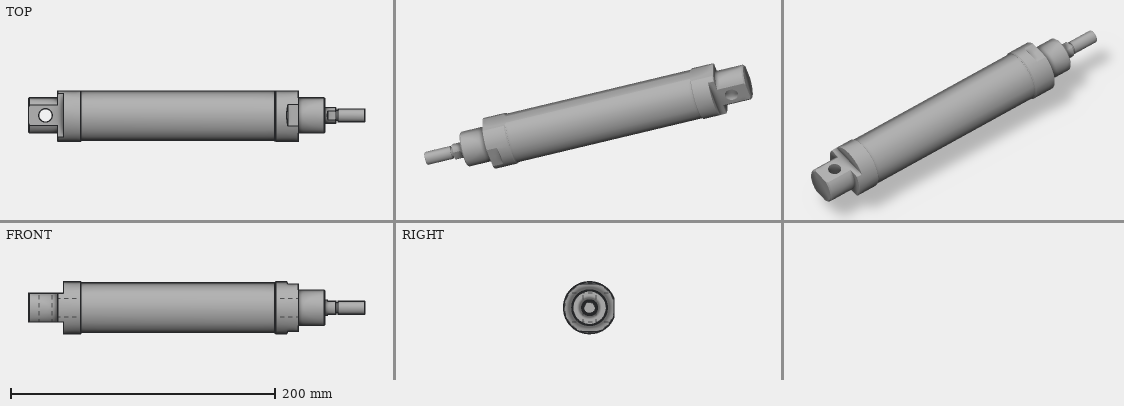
import cadquery as cq
import math


cap_radius = 39.5 / 2
cap_edge_chamfer = 0.5
side_flat_y = 18.5

tang_length = 22.0
tang_radius = 27.0 / 2
tang_thickness = 22.0
tang_chamfer = 1.0
step_length = 4.5
rear_cap_end = 40.0
pivot_x = 13.0
pivot_diameter = 10.0

barrel_radius = 37.8 / 2
barrel_length = 146.5
barrel_end = rear_cap_end + barrel_length

front_cap_length = 18.0
front_cap_collar_length = 0.5
front_cap_end = barrel_end + front_cap_length
nose_radius = tang_radius
nose_length = 20.0
nose_chamfer = 0.8
nose_end = front_cap_end + nose_length
wrench_width = 36.0
wrench_length = 8.0
flat_slope_angle = 30.0

rod_radius = 12.0 / 2
rod_flat_width = 10.0
rod_flat_length = 6.2
thread_radius = 10.0 / 2
thread_length = 20.5
thread_chamfer = 0.5
neck_radius = 8.0 / 2
neck_length = 1.5
rod_end = 255.0
thread_start = rod_end - thread_length
shoulder_end = thread_start - neck_length
rod_chamfer = 0.5


def turned(points):
    """Revolve an outline of (x, -radius) points about the X axis."""
    return cq.Workplane("XY").polyline(points).close().revolve(360, (0, 0, 0), (1, 0, 0))


def block(x_start, x_end, y_start, y_end, z_start, z_end):
    """Box between the given limits."""
    size = (x_end - x_start, y_end - y_start, z_end - z_start)
    return cq.Workplane("XY").box(*size, centered=False).translate((x_start, y_start, z_start))


def cut_side_flat(body):
    """Trim the +Y side to the flat shared by the caps and the barrel."""
    return body.cut(block(0, rod_end, side_flat_y, 2 * cap_radius, -cap_radius, cap_radius))


def cut_flat_pair(body, width, radius, x_start, x_end):
    """Cut two opposite wrench flats facing +Z and -Z, each starting with a sloped shoulder."""
    flat_z = width / 2
    slope_run = (radius - flat_z) * math.tan(math.radians(flat_slope_angle))
    cutter = (
        cq.Workplane("XZ")
        .polyline([
            (x_start, flat_z),
            (x_end, flat_z),
            (x_end, radius),
            (x_start - slope_run, radius),
        ])
        .close()
        .extrude(radius, both=True)
    )
    return body.cut(cutter).cut(cutter.mirror("XY"))


def make_rear_cap():
    body = turned([
        (0, 0),
        (0, -(tang_radius - tang_chamfer)),
        (tang_chamfer, -tang_radius),
        (tang_length, -tang_radius),
        (tang_length, -(cap_radius - cap_edge_chamfer)),
        (tang_length + cap_edge_chamfer, -cap_radius),
        (rear_cap_end - cap_edge_chamfer, -cap_radius),
        (rear_cap_end, -(cap_radius - cap_edge_chamfer)),
        (rear_cap_end, 0),
    ])
    step_end = tang_length + step_length
    half_thickness = tang_thickness / 2
    body = body.cut(block(0, step_end, -cap_radius, cap_radius, half_thickness, cap_radius))
    body = body.cut(block(0, step_end, -cap_radius, cap_radius, -cap_radius, -half_thickness))
    pivot = cq.Workplane("XY").center(pivot_x, 0).circle(pivot_diameter / 2).extrude(tang_thickness, both=True)
    return cut_side_flat(body.cut(pivot))


def make_barrel():
    body = cq.Workplane("YZ", origin=(rear_cap_end, 0, 0)).circle(barrel_radius).extrude(barrel_length)
    return cut_side_flat(body)


def make_front_cap():
    collar_end = barrel_end + front_cap_collar_length
    body = turned([
        (barrel_end, 0),
        (barrel_end, -(cap_radius - cap_edge_chamfer)),
        (collar_end, -(cap_radius - cap_edge_chamfer)),
        (collar_end + cap_edge_chamfer, -cap_radius),
        (front_cap_end, -cap_radius),
        (front_cap_end, -nose_radius),
        (nose_end - nose_chamfer, -nose_radius),
        (nose_end, -(nose_radius - nose_chamfer)),
        (nose_end, 0),
    ])
    body = cut_flat_pair(body, wrench_width, cap_radius, front_cap_end - wrench_length, front_cap_end)
    return cut_side_flat(body)


def make_rod():
    body = turned([
        (nose_end, 0),
        (nose_end, -rod_radius),
        (shoulder_end - rod_chamfer, -rod_radius),
        (shoulder_end, -(rod_radius - rod_chamfer)),
        (shoulder_end, -neck_radius),
        (thread_start, -neck_radius),
        (thread_start, -thread_radius),
        (rod_end - thread_chamfer, -thread_radius),
        (rod_end, -(thread_radius - thread_chamfer)),
        (rod_end, 0),
    ])
    return cut_flat_pair(body, rod_flat_width, rod_radius, shoulder_end - rod_flat_length, shoulder_end)


rear_cap = make_rear_cap()
barrel = make_barrel()
front_cap = make_front_cap()
rod = make_rod()

result = cq.Compound.makeCompound([rear_cap.val(), barrel.val(), front_cap.val(), rod.val()])